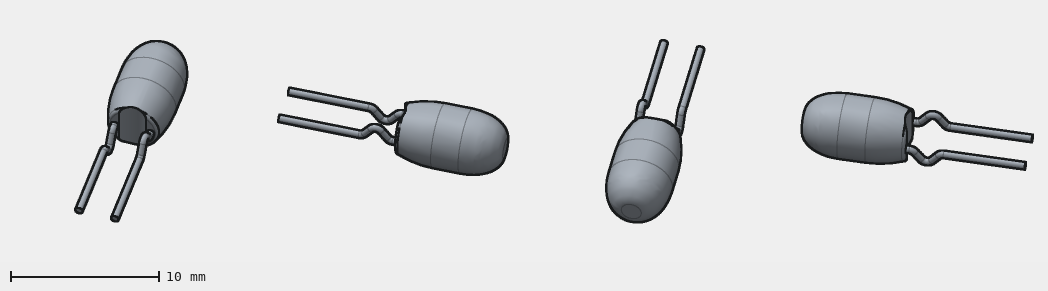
import cadquery as cq
import math

total_length = 15.46

body_length = 7.28
body_radius = 4.5 / 2
dome_length = 2.7
dome_flat_radius = 0.7
band_length = 1.92
rim_radius = 1.81
rim_round = 0.22

groove_half_width = 0.96
groove_depth = 0.3

lead_diameter = 0.54
lead_offset = 1.27
lead_embed = 0.31
kink_start = 0.23
kink_half_length = 1.17
kink_height = 0.96
kink_radius = 0.45


def make_body():
    """Revolve the half profile: elliptical dome, band, bowed taper and rim round."""
    band_back = body_length - dome_length
    band_front = band_back - band_length
    dome_width = body_radius - dome_flat_radius

    taper_length = band_front - rim_round
    taper_drop = body_radius - rim_radius
    taper_arc_radius = (taper_length**2 + taper_drop**2) / (2 * taper_drop)
    half_angle = math.asin(taper_length / taper_arc_radius) / 2
    taper_middle = (
        body_radius - taper_arc_radius * (1 - math.cos(half_angle)),
        band_front - taper_arc_radius * math.sin(half_angle),
    )

    rim_diagonal = rim_round * math.sqrt(0.5)
    rim_middle = (rim_radius - rim_round + rim_diagonal, rim_round - rim_diagonal)

    profile = (
        cq.Workplane("XY")
        .lineTo(rim_radius - rim_round, 0)
        .threePointArc(rim_middle, (rim_radius, rim_round))
        .threePointArc(taper_middle, (body_radius, band_front))
        .lineTo(body_radius, band_back)
        .ellipseArc(dome_width, dome_length, 0, 90, startAtCurrent=True)
        .lineTo(0, body_length)
        .close()
    )
    return profile.revolve(360, (0, 0, 0), (0, 1, 0))


def make_groove():
    """Shallow arc-shaped channel running along Z through the end face."""
    return (
        cq.Workplane("XY")
        .moveTo(-groove_half_width, 0)
        .threePointArc((0, groove_depth), (groove_half_width, 0))
        .close()
        .extrude(body_radius, both=True)
    )


def make_lead(x, side):
    """Sweep a round wire with one kink; side is +1 for a kink toward +Z, -1 toward -Z."""
    crest = kink_start + kink_half_length
    kink_end = crest + kink_half_length
    tip = total_length - body_length

    rise_between_centres = kink_height - 2 * kink_radius
    centre_distance = math.hypot(kink_half_length, rise_between_centres)
    leg_angle = math.atan2(rise_between_centres, kink_half_length)
    leg_angle += math.asin(2 * kink_radius / centre_distance)

    def bend_offset(angle):
        """Run and rise along a bend after turning through the given angle."""
        return kink_radius * math.sin(angle), kink_radius * (1 - math.cos(angle))

    half_run, half_rise = bend_offset(leg_angle / 2)
    full_run, full_rise = bend_offset(leg_angle)

    def point(distance, height):
        """Point on the YZ plane at a distance out from the end face."""
        return -distance, side * height

    path = (
        cq.Workplane("YZ", origin=(x, 0, 0))
        .moveTo(*point(-lead_embed, 0))
        .lineTo(*point(kink_start, 0))
        .threePointArc(
            point(kink_start + half_run, half_rise),
            point(kink_start + full_run, full_rise),
        )
        .lineTo(*point(crest - full_run, kink_height - full_rise))
        .threePointArc(point(crest, kink_height), point(crest + full_run, kink_height - full_rise))
        .lineTo(*point(kink_end - full_run, full_rise))
        .threePointArc(point(kink_end - half_run, half_rise), point(kink_end, 0))
        .lineTo(*point(tip, 0))
    )
    section = cq.Workplane("XZ", origin=(x, lead_embed, 0)).circle(lead_diameter / 2)
    return section.sweep(path)


result = make_body().cut(make_groove())
for direction in (-1, 1):
    result = result.union(make_lead(direction * lead_offset, direction))